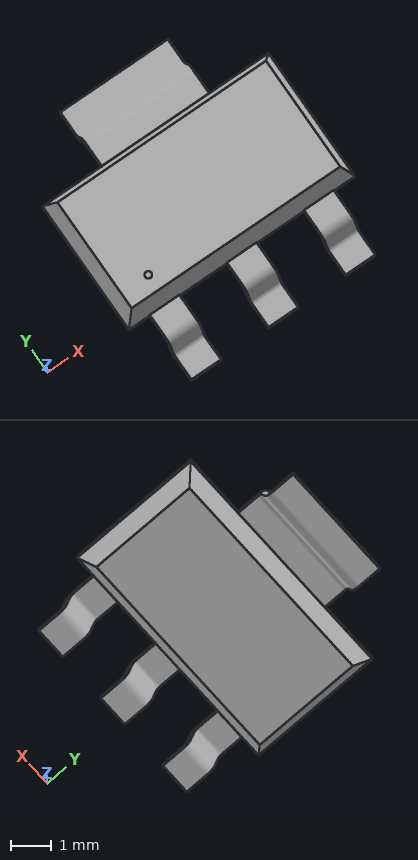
import cadquery as cq
import math

housing_length = 6.7
housing_width = 3.7
housing_height = 1.75
band_bottom = 0.715
band_top = 0.89
top_inset = 0.255
bottom_inset = 0.335

overall_width = 7.29
metal_thickness = 0.15
shoulder_bottom = band_bottom
shoulder_top = shoulder_bottom + metal_thickness
foot_length = 0.64
bend_inner_radius = 0.13
bend_outer_radius = bend_inner_radius + metal_thickness
lean_angle = math.radians(16.0)

lead_width = 0.89
lead_pitch = 2.29
lead_positions = [-lead_pitch, 0.0, lead_pitch]
tab_width = 3.2

marker_diameter = 0.18
marker_depth = 0.04
marker_x = -lead_pitch
marker_y = -1.145


def make_frustum(start_z, end_z, end_inset):
    """Housing half that narrows by end_inset per side from start_z to end_z."""
    return (
        cq.Workplane("XY", origin=(0, 0, start_z))
        .rect(housing_length, housing_width)
        .workplane(offset=end_z - start_z)
        .rect(housing_length - 2 * end_inset, housing_width - 2 * end_inset)
        .loft(ruled=True)
    )


def make_marker():
    return (
        cq.Workplane("XY", origin=(marker_x, marker_y, housing_height - marker_depth))
        .circle(marker_diameter / 2)
        .extrude(marker_depth)
    )


def make_housing():
    band = cq.Workplane("XY", origin=(0, 0, band_bottom)).rect(housing_length, housing_width)
    body = band.extrude(band_top - band_bottom)
    body = body.union(make_frustum(band_top, housing_height, top_inset))
    body = body.union(make_frustum(band_bottom, 0.0, bottom_inset))
    return body.cut(make_marker())


def point_on_arc(center, radius, angle):
    return (center[0] + radius * math.cos(angle), center[1] + radius * math.sin(angle))


def make_gull_wing(width, center_x):
    """Bent strip on the -Y side, from its foot tip to the housing wall."""
    tip_y = -overall_width / 2
    wall_y = -housing_width / 2

    radius_sum = bend_inner_radius + bend_outer_radius
    rise = shoulder_top - metal_thickness
    leg_length = (rise - radius_sum * (1 - math.sin(lean_angle))) / math.cos(lean_angle)
    bend_run = radius_sum * math.cos(lean_angle) + leg_length * math.sin(lean_angle)

    foot_bend = (tip_y + foot_length, metal_thickness + bend_inner_radius)
    shoulder_bend = (foot_bend[0] + bend_run, shoulder_top - bend_outer_radius)

    foot_end = -lean_angle
    foot_middle = (foot_end - math.pi / 2) / 2
    shoulder_end = math.pi - lean_angle
    shoulder_middle = (shoulder_end + math.pi / 2) / 2

    profile = (
        cq.Workplane("YZ", origin=(center_x - width / 2, 0, 0))
        .moveTo(tip_y, 0)
        .lineTo(foot_bend[0], 0)
        .threePointArc(
            point_on_arc(foot_bend, bend_outer_radius, foot_middle),
            point_on_arc(foot_bend, bend_outer_radius, foot_end),
        )
        .lineTo(*point_on_arc(shoulder_bend, bend_inner_radius, shoulder_end))
        .threePointArc(
            point_on_arc(shoulder_bend, bend_inner_radius, shoulder_middle),
            (shoulder_bend[0], shoulder_bottom),
        )
        .lineTo(wall_y, shoulder_bottom)
        .lineTo(wall_y, shoulder_top)
        .lineTo(shoulder_bend[0], shoulder_top)
        .threePointArc(
            point_on_arc(shoulder_bend, bend_outer_radius, shoulder_middle),
            point_on_arc(shoulder_bend, bend_outer_radius, shoulder_end),
        )
        .lineTo(*point_on_arc(foot_bend, bend_inner_radius, foot_end))
        .threePointArc(
            point_on_arc(foot_bend, bend_inner_radius, foot_middle),
            (foot_bend[0], metal_thickness),
        )
        .lineTo(tip_y, metal_thickness)
        .close()
    )
    return profile.extrude(width)


def make_tab():
    """Wide heat-sink tab, with the lead profile turned to the +Y side."""
    return make_gull_wing(tab_width, 0.0).mirror("XZ")


housing = make_housing()
marker = make_marker()
leads = [make_gull_wing(lead_width, x) for x in lead_positions]
tab = make_tab()

result = cq.Compound.makeCompound(
    [housing.val(), marker.val(), tab.val(), *[lead.val() for lead in leads]]
)